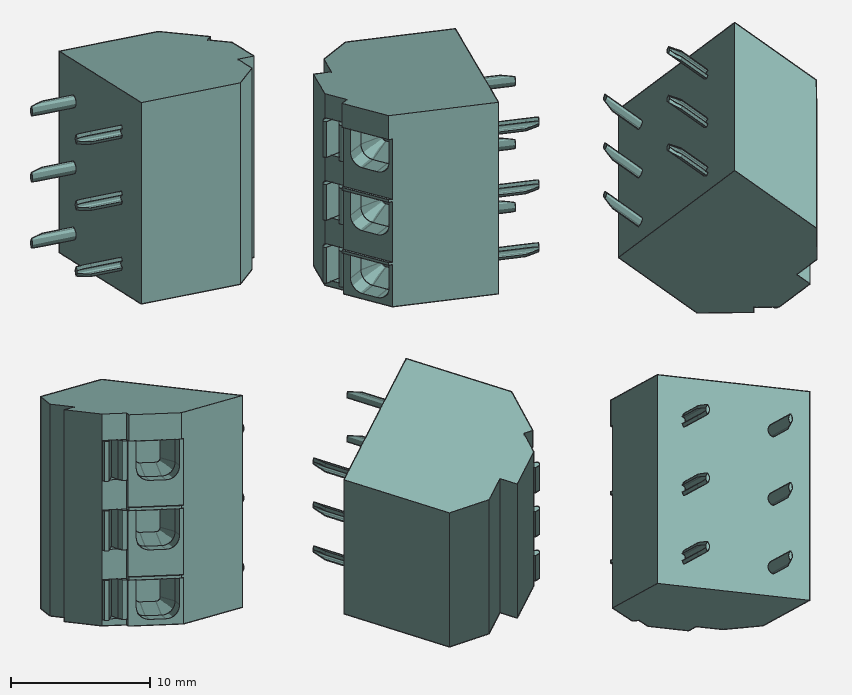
import cadquery as cq
import math

OVERALL_LENGTH = 15.56
WIDTH = 12.0
HEIGHT = 15.47
DEPTH = 11.7
SHOULDER_Y = 8.17
ENTRY_RISE = 2.74
NOTCH = 0.5
STEP_X = 1.73
REAR_RISE = 2.2

POLES = 3
PITCH = 5.07
FIRST_POLE = 1.93
RIB = 0.22
RECESS_DEPTH = 0.2

MOUTH_START = 0.1
MOUTH_WIDTH = 3.19
MOUTH_HEIGHT = 2.95
MOUTH_RADIUS = 1.0
MOUTH_DEPTH = 1.5
FUNNEL_DEPTH = 1.87
FUNNEL_TAPER = 20

LEVER_LENGTH = 2.9
VALLEY_Y = 10.19
HOOK_CORNER = (-2.12, 11.75)
HOOK_ROUND = (-2.04, 11.9)
HOOK_TOP = (-1.88, 11.97)
HOOK_SHOULDER = (-1.59, 11.8)
HOOK_BASE_X = -1.88
HOOK_BACK_X = -1.52
NOSE_LEFT_X = -3.02
NOSE_LEFT_Y = 10.78
NOSE_ROUND = (-2.95, 10.92)
NOSE_TOP = (-2.77, 10.99)
NOSE_BACK_X = -2.3

PIN_LENGTH = OVERALL_LENGTH - HOOK_TOP[1]
PIN_BEND_SPACING = 7.24
PIN_ROWS_X = -0.4
FIRST_PIN = 3.17
PIN_RADIUS = 0.5
PIN_THICKNESS = 0.28
PIN_ARM = 0.14
PIN_ARM_ANGLE = math.radians(63.4)
PIN_TAPER_LENGTH = 1.03
PIN_TAPER = 0.28

TOP = HEIGHT / 2
LEFT = -WIDTH / 2
RIDGE = (LEFT + ENTRY_RISE, SHOULDER_Y + ENTRY_RISE)
NOTCH_BOTTOM = (RIDGE[0] + NOTCH, RIDGE[1] - NOTCH)


def on_slope(x):
    """Point at x on the 45 degree slope rising from the notch."""
    return (x, NOTCH_BOTTOM[1] + x - NOTCH_BOTTOM[0])


def on_notch(x):
    """Point at x on the 45 degree face falling from the ridge into the notch."""
    return (x, RIDGE[1] + RIDGE[0] - x)


def make_housing():
    slope_top_x = NOTCH_BOTTOM[0] + DEPTH - NOTCH_BOTTOM[1]
    rear_y = SHOULDER_Y + REAR_RISE
    outline = [
        (LEFT, 0),
        (LEFT, SHOULDER_Y),
        RIDGE,
        NOTCH_BOTTOM,
        (slope_top_x, DEPTH),
        (STEP_X, DEPTH),
        (STEP_X, rear_y),
        (-LEFT - REAR_RISE, rear_y),
        (-LEFT, SHOULDER_Y),
        (-LEFT, 0),
    ]
    return cq.Workplane("XY").polyline(outline).close().extrude(TOP, both=True)


def chamfer_plane(pole_top, depth):
    """Plane at a depth below the entry chamfer: x runs up the chamfer, y runs down (-Z)."""
    surface = cq.Plane(
        origin=(LEFT, SHOULDER_Y, pole_top),
        xDir=(1, 1, 0),
        normal=(-1, 1, 0),
    )
    origin = surface.toWorldCoords((0, 0, -depth))
    return cq.Plane(origin=origin, xDir=(1, 1, 0), normal=(-1, 1, 0))


def make_recess(pole_top):
    """Shallow recess over the whole chamfer of one pole, open at the left face."""
    end = ENTRY_RISE * math.sqrt(2)
    overlap = 2 * RECESS_DEPTH
    plane = chamfer_plane(pole_top, RECESS_DEPTH)
    return (
        cq.Workplane(plane)
        .moveTo(-overlap, 0)
        .rect(end + overlap, PITCH - RIB, centered=False)
        .extrude(overlap)
    )


def mouth_outline(pole_top, depth):
    """Wire-entry outline, rounded at its two lower corners."""
    left = MOUTH_START
    right = MOUTH_START + MOUTH_WIDTH
    side = MOUTH_HEIGHT - MOUTH_RADIUS
    inset = MOUTH_RADIUS * (1 - math.sqrt(0.5))
    return (
        cq.Workplane(chamfer_plane(pole_top, depth))
        .moveTo(left, 0)
        .lineTo(right, 0)
        .lineTo(right, side)
        .threePointArc((right - inset, MOUTH_HEIGHT - inset), (right - MOUTH_RADIUS, MOUTH_HEIGHT))
        .lineTo(left + MOUTH_RADIUS, MOUTH_HEIGHT)
        .threePointArc((left + inset, MOUTH_HEIGHT - inset), (left, side))
        .close()
    )


def make_wire_entry(pole_top):
    """Straight mouth followed by a narrowing funnel."""
    funnel_start = RECESS_DEPTH + MOUTH_DEPTH
    mouth = mouth_outline(pole_top, RECESS_DEPTH).extrude(-MOUTH_DEPTH)
    funnel = mouth_outline(pole_top, funnel_start).extrude(-FUNNEL_DEPTH, taper=FUNNEL_TAPER)
    return mouth.union(funnel)


def lever_sketch(pole_top):
    return cq.Workplane("XY", origin=(0, 0, pole_top))


def make_lever_groove(pole_top):
    """V groove between the hook and the nose of a lever."""
    base = on_slope(HOOK_BASE_X)
    lean = (base[0] - HOOK_CORNER[0]) / (HOOK_CORNER[1] - base[1])
    valley = (base[0] + lean * (base[1] - VALLEY_Y), VALLEY_Y)
    corners = [on_slope(NOSE_BACK_X), base, valley]
    return lever_sketch(pole_top).polyline(corners).close().extrude(-LEVER_LENGTH)


def make_lever(pole_top):
    """Hook and nose of one lever, standing out of the slope and the notch."""
    hook = (
        lever_sketch(pole_top)
        .moveTo(*on_slope(HOOK_BASE_X))
        .lineTo(*HOOK_CORNER)
        .threePointArc(HOOK_ROUND, HOOK_TOP)
        .lineTo(*HOOK_SHOULDER)
        .lineTo(*on_slope(HOOK_BACK_X))
        .close()
        .extrude(-LEVER_LENGTH)
    )
    nose = (
        lever_sketch(pole_top)
        .moveTo(*NOTCH_BOTTOM)
        .lineTo(*on_notch(NOSE_LEFT_X))
        .lineTo(NOSE_LEFT_X, NOSE_LEFT_Y)
        .threePointArc(NOSE_ROUND, NOSE_TOP)
        .lineTo(*on_slope(NOSE_BACK_X))
        .close()
        .extrude(-LEVER_LENGTH)
    )
    return hook, nose


def make_pin():
    """Pin along -Y whose bend is centred on the origin and whose arms open to -X."""
    cos_arm = math.cos(PIN_ARM_ANGLE)
    sin_arm = math.sin(PIN_ARM_ANGLE)
    inner_radius = PIN_RADIUS - PIN_THICKNESS

    def arm_point(radius, length, side):
        x = radius * cos_arm - length * sin_arm
        z = radius * sin_arm + length * cos_arm
        return (x, side * z)

    pin = (
        cq.Workplane("XZ")
        .moveTo(*arm_point(PIN_RADIUS, PIN_ARM, 1))
        .lineTo(*arm_point(PIN_RADIUS, 0, 1))
        .threePointArc((PIN_RADIUS, 0), arm_point(PIN_RADIUS, 0, -1))
        .lineTo(*arm_point(PIN_RADIUS, PIN_ARM, -1))
        .lineTo(*arm_point(inner_radius, PIN_ARM, -1))
        .lineTo(*arm_point(inner_radius, 0, -1))
        .threePointArc((inner_radius, 0), arm_point(inner_radius, 0, 1))
        .lineTo(*arm_point(inner_radius, PIN_ARM, 1))
        .close()
        .extrude(PIN_LENGTH)
    )
    taper_start = PIN_LENGTH - PIN_TAPER_LENGTH
    for side in (1, -1):
        tip_x, tip_z = arm_point(PIN_RADIUS - PIN_THICKNESS / 2, PIN_ARM, side)
        along_arm = cq.Vector(sin_arm, 0, -side * cos_arm)
        plane = cq.Plane(
            origin=(tip_x, 0, tip_z),
            xDir=along_arm,
            normal=along_arm.cross(cq.Vector(0, -1, 0)),
        )
        wedge = (
            cq.Workplane(plane)
            .polyline([(0, taper_start), (0, PIN_LENGTH), (PIN_TAPER, PIN_LENGTH)])
            .close()
            .extrude(PIN_THICKNESS, both=True)
        )
        pin = pin.cut(wedge)
    return pin


result = make_housing()

for pole in range(POLES):
    pole_top = TOP - FIRST_POLE - pole * PITCH
    result = result.cut(make_recess(pole_top))
    result = result.cut(make_wire_entry(pole_top))
    result = result.cut(make_lever_groove(pole_top))
    hook, nose = make_lever(pole_top)
    result = result.union(hook).union(nose)

left_pin = make_pin().translate((-PIN_BEND_SPACING / 2, 0, 0))
right_pin = left_pin.mirror("YZ")
for pole in range(POLES):
    pin_place = (PIN_ROWS_X, 0, TOP - FIRST_PIN - pole * PITCH)
    result = result.union(left_pin.translate(pin_place))
    result = result.union(right_pin.translate(pin_place))